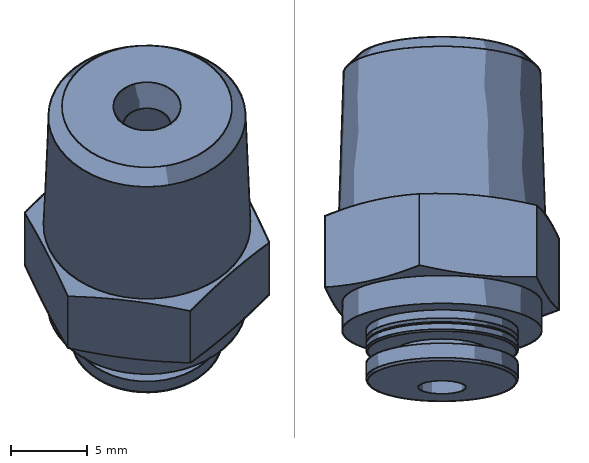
import cadquery as cq
import math

total_height = 22.15

hex_across_flats = 14.0
hex_across_corners = hex_across_flats / math.cos(math.radians(30))
hex_bottom = 5.71
hex_top = 11.11
hex_face_diameter = 13.93
hex_corner_drop = 0.29

thread_base_diameter = 13.48
thread_end_diameter = 12.85
thread_tip_diameter = 11.07
thread_chamfer_height = 0.9

collar_diameter = 13.0
collar_bottom = 3.83

sleeve_diameter = 9.9
sleeve_bottom = 2.41
sleeve_chamfer = 0.1
groove_top = 3.28
groove_bottom = 2.92
groove_floor = 3.05
groove_depth = 0.1

neck_diameter = 6.0
neck_fillet = 0.49
flange_top = 1.57
flange_bottom = 0.6
flange_chamfer_height = 0.18
flange_chamfer_width = 0.1
button_face_diameter = 5.0

bore_diameter = 3.1
mouth_diameter = 4.38
mouth_depth = 1.77


def revolve_profile(points):
    """Revolve a closed (radius, height) outline around the Z axis."""
    return cq.Workplane("XZ").polyline(points).close().revolve(360, (0, 0), (0, 1))


def make_hexagon():
    """Hexagon with its corners along Y, chamfered conically at both ends."""
    prism = (
        cq.Workplane("XY", origin=(0, 0, hex_bottom))
        .polygon(6, hex_across_corners)
        .extrude(hex_top - hex_bottom)
        .rotate((0, 0, 0), (0, 0, 1), 90)
    )
    face_radius = hex_face_diameter / 2
    corner_radius = hex_across_corners / 2
    envelope = revolve_profile([
        (0, hex_bottom),
        (face_radius, hex_bottom),
        (corner_radius, hex_bottom + hex_corner_drop),
        (corner_radius, hex_top - hex_corner_drop),
        (face_radius, hex_top),
        (0, hex_top),
    ])
    return prism.intersect(envelope)


def make_thread():
    """Tapered plug with a chamfered tip."""
    return revolve_profile([
        (0, hex_bottom),
        (thread_base_diameter / 2, hex_bottom),
        (thread_base_diameter / 2, hex_top),
        (thread_end_diameter / 2, total_height - thread_chamfer_height),
        (thread_tip_diameter / 2, total_height),
        (0, total_height),
    ])


def make_collar():
    height = hex_bottom - collar_bottom
    return cq.Workplane("XY", origin=(0, 0, collar_bottom)).circle(collar_diameter / 2).extrude(height)


def make_sleeve():
    radius = sleeve_diameter / 2
    return revolve_profile([
        (0, collar_bottom),
        (radius, collar_bottom),
        (radius, groove_top),
        (radius - groove_depth, groove_floor),
        (radius, groove_bottom),
        (radius, sleeve_bottom + sleeve_chamfer),
        (radius - sleeve_chamfer, sleeve_bottom),
        (0, sleeve_bottom),
    ])


def make_button():
    radius = sleeve_diameter / 2
    neck_radius = neck_diameter / 2
    arc_inset = neck_fillet * (1 - math.cos(math.radians(45)))
    return (
        cq.Workplane("XZ")
        .moveTo(0, sleeve_bottom)
        .lineTo(neck_radius, sleeve_bottom)
        .lineTo(neck_radius, flange_top + neck_fillet)
        .threePointArc(
            (neck_radius + arc_inset, flange_top + arc_inset),
            (neck_radius + neck_fillet, flange_top),
        )
        .lineTo(radius, flange_top)
        .lineTo(radius, flange_bottom)
        .lineTo(radius - flange_chamfer_width, flange_bottom - flange_chamfer_height)
        .lineTo(button_face_diameter / 2, 0)
        .lineTo(0, 0)
        .close()
        .revolve(360, (0, 0), (0, 1))
    )


def make_bore():
    return revolve_profile([
        (0, 0),
        (bore_diameter / 2, 0),
        (bore_diameter / 2, total_height - mouth_depth),
        (mouth_diameter / 2, total_height),
        (0, total_height),
    ])


result = (
    make_hexagon()
    .union(make_thread())
    .union(make_collar())
    .union(make_sleeve())
    .union(make_button())
    .cut(make_bore())
)